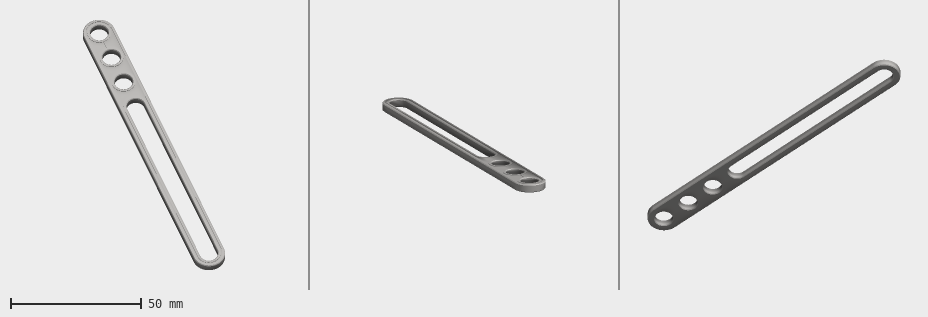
import cadquery as cq

length = 125
width = 12.5
thickness = 3.1
edge_break = 0.3

pitch = width
hole_count = 3
hole_diameter = 7.0
first_hole_x = (width - length) / 2
slot_start_x = first_hole_x + hole_count * pitch
slot_end_x = -first_hole_x

recess_depth = 0.2
rim_width = 1.1
collar_diameter = 9.2
rib_width = 0.1

hole_centres = [(first_hole_x + i * pitch, 0) for i in range(hole_count)]
recess_floor = thickness - recess_depth


def holes_and_slot(diameter, bottom, top):
    """Solids for the row of round holes and the long slot, at the given diameter."""
    plane = cq.Workplane("XY").workplane(offset=bottom)
    height = top - bottom
    holes = plane.pushPoints(hole_centres).circle(diameter / 2).extrude(height)
    slot_travel = slot_end_x - slot_start_x
    slot = (
        plane.center((slot_start_x + slot_end_x) / 2, 0)
        .slot2D(slot_travel + diameter, diameter)
        .extrude(height)
    )
    return holes.union(slot)


def plate():
    """Round-ended strip with its holes and slot, every top and bottom edge chamfered."""
    strip = cq.Workplane("XY").slot2D(length, width).extrude(thickness)
    pierced = strip.cut(holes_and_slot(hole_diameter, 0, thickness))
    return pierced.faces("|Z").edges().chamfer(edge_break)


def top_recess():
    """Shallow pocket inside the rim, around the collars and the rib."""
    pocket = (
        cq.Workplane("XY")
        .workplane(offset=recess_floor)
        .slot2D(length - 2 * rim_width, width - 2 * rim_width)
        .extrude(recess_depth)
    )
    rib = (
        cq.Workplane("XY")
        .workplane(offset=recess_floor)
        .center(first_hole_x + pitch / 2, 0)
        .rect(pitch, rib_width)
        .extrude(recess_depth)
    )
    collars = holes_and_slot(collar_diameter, recess_floor, thickness)
    return pocket.cut(collars).cut(rib)


result = plate().cut(top_recess())